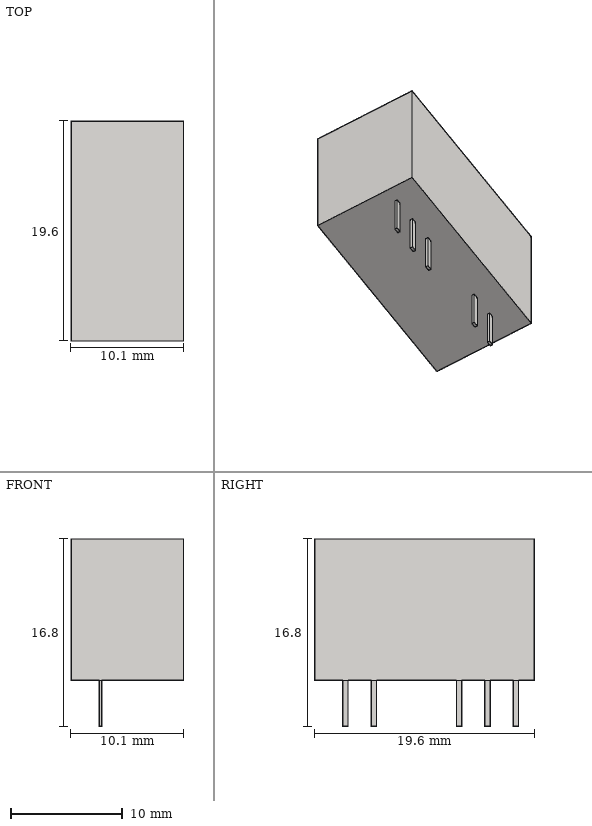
import cadquery as cq

body_width = 10.05
body_length = 19.65
body_height = 12.65

pin_thickness = 0.25
pin_width = 0.5
pin_length = 4.1
pin_pitch = 2.54
pin_row_inset = 2.615
first_pin_inset = 2.76
pin_slots = (0, 1, 4, 5, 6)


def make_body():
    """Housing centred on the Z axis, standing on Z = 0."""
    return cq.Workplane("XY").box(body_width, body_length, body_height, centered=(True, True, False))


def make_pins():
    """Row of terminals hanging down from the underside of the housing."""
    row_x = pin_row_inset - body_width / 2
    first_y = first_pin_inset - body_length / 2
    centres = [(row_x, first_y + slot * pin_pitch) for slot in pin_slots]
    return cq.Workplane("XY").pushPoints(centres).rect(pin_thickness, pin_width).extrude(-pin_length)


result = make_body().union(make_pins())